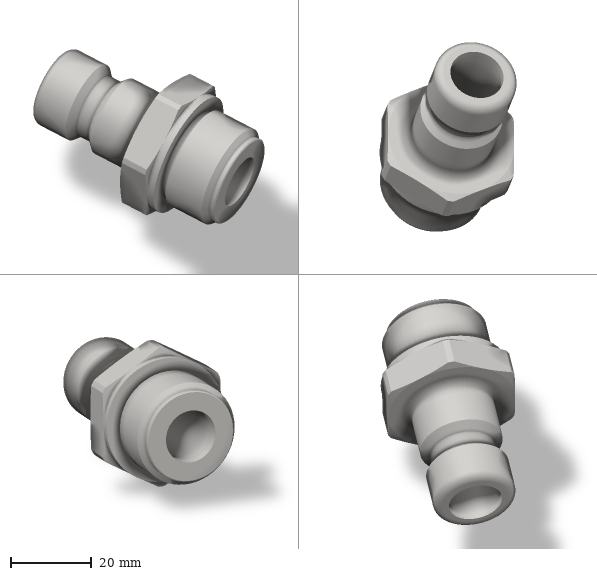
import cadquery as cq
import math

head_end = 10.35
neck_start = 12.3
neck_end = 15.8
shank_start = 17.95
hex_start = 30.05
hex_end = 37.95
washer_thickness = 2.0
thread_start = 41.7
thread_end = 52.2
total_length = 55.0

bore_diameter = 13.5
neck_diameter = 16.8
shank_diameter = 20.9
tip_diameter = 23.5
undercut_diameter = 24.2
thread_diameter = 26.45

across_flats = 32.0
corner_diameter = 36.1
hex_chamfer_angle = 15.0

nose_radius = (shank_diameter - neck_diameter) / 2
shank_fillet = 2.0
tip_chamfer = 0.3

washer_end = hex_end + washer_thickness
bore_radius = bore_diameter / 2
neck_radius = neck_diameter / 2
shank_radius = shank_diameter / 2
tip_radius = tip_diameter / 2
undercut_radius = undercut_diameter / 2
thread_radius = thread_diameter / 2
thread_chamfer = thread_radius - tip_radius


def revolve_about_x(profile):
    """Revolve a closed (x, radius) profile about the X axis."""
    return profile.close().revolve(360, (0, 0, 0), (1, 0, 0))


def arc_midpoint(center_x, center_r, radius, angle):
    """Point on a profile arc at the given angle in degrees."""
    a = math.radians(angle)
    return (center_x + radius * math.cos(a), center_r + radius * math.sin(a))


def make_turned_body():
    """Plug, shank and threaded end, with the bore running through."""
    nose_mid = arc_midpoint(nose_radius, shank_radius - nose_radius, nose_radius, 135)
    fillet_mid = arc_midpoint(hex_start - shank_fillet, shank_radius + shank_fillet, shank_fillet, -45)

    run = thread_start - washer_end
    rise = thread_radius - undercut_radius
    undercut_arc_radius = (run**2 + rise**2) / (2 * rise)
    sweep = math.degrees(math.asin(run / undercut_arc_radius))
    undercut_mid = arc_midpoint(
        washer_end, undercut_radius + undercut_arc_radius, undercut_arc_radius, -90 + sweep / 2
    )

    return revolve_about_x(
        cq.Workplane("XY")
        .moveTo(0, bore_radius)
        .lineTo(0, shank_radius - nose_radius)
        .threePointArc(nose_mid, (nose_radius, shank_radius))
        .lineTo(head_end, shank_radius)
        .lineTo(neck_start, neck_radius)
        .lineTo(neck_end, neck_radius)
        .lineTo(shank_start, shank_radius)
        .lineTo(hex_start - shank_fillet, shank_radius)
        .threePointArc(fillet_mid, (hex_start, shank_radius + shank_fillet))
        .lineTo(hex_end, shank_radius + shank_fillet)
        .lineTo(hex_end, undercut_radius)
        .lineTo(washer_end, undercut_radius)
        .threePointArc(undercut_mid, (thread_start, thread_radius))
        .lineTo(thread_end, thread_radius)
        .lineTo(thread_end + thread_chamfer, tip_radius)
        .lineTo(total_length - tip_chamfer, tip_radius)
        .lineTo(total_length, tip_radius - tip_chamfer)
        .lineTo(total_length, bore_radius)
    )


def make_hex_collar():
    """Wrench hexagon with rounded corners and conical chamfers on both faces."""
    flat_radius = across_flats / 2
    corner_radius = corner_diameter / 2
    chamfer_length = (corner_radius - flat_radius) * math.tan(math.radians(hex_chamfer_angle))
    prism = (
        cq.Workplane("YZ", origin=(hex_start, 0, 0))
        .polygon(6, across_flats, circumscribed=True)
        .extrude(hex_end - hex_start)
    )
    envelope = revolve_about_x(
        cq.Workplane("XY")
        .moveTo(hex_start, bore_radius)
        .lineTo(hex_start, flat_radius)
        .lineTo(hex_start + chamfer_length, corner_radius)
        .lineTo(hex_end - chamfer_length, corner_radius)
        .lineTo(hex_end, flat_radius)
        .lineTo(hex_end, bore_radius)
    )
    return prism.intersect(envelope)


def make_nipple():
    """Hose nipple: turned body and wrench hexagon in one piece."""
    return make_turned_body().union(make_hex_collar())


def make_sealing_washer():
    """Flat washer seated in the undercut against the hexagon."""
    return (
        cq.Workplane("YZ", origin=(hex_end, 0, 0))
        .circle(across_flats / 2)
        .circle(undercut_radius)
        .extrude(washer_thickness)
    )


nipple = make_nipple()
sealing_washer = make_sealing_washer()
result = cq.Compound.makeCompound([nipple.val(), sealing_washer.val()])